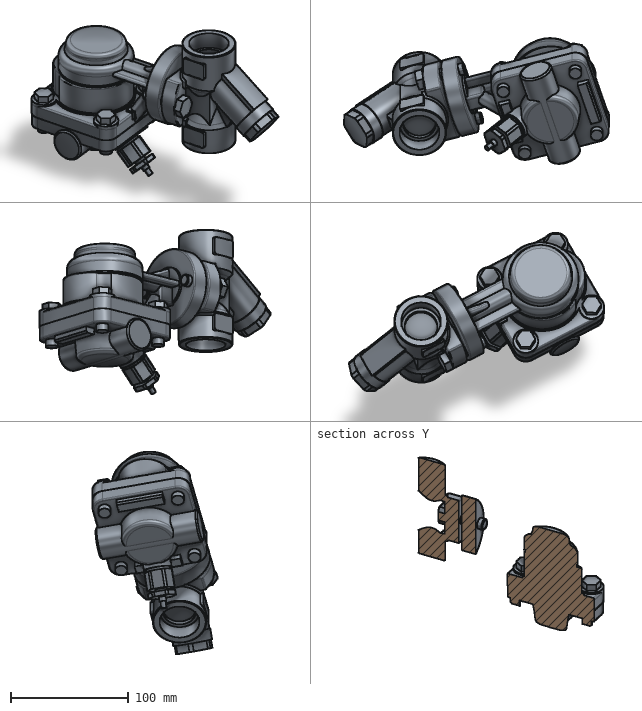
import cadquery as cq
import math


OVERALL_LENGTH = 226.1

PLATE_WIDTH = 85.5
PLATE_TOP = -37.0
PLATE_JOINT = -49.3
PLATE_BOTTOM = -61.0
PLATE_EDGE_FILLET = 1.4
JOINT_GROOVE = 0.2
COVER_BOLT_OFFSET = 32.0
BOLT_PAD_RADIUS = PLATE_WIDTH / 2 - COVER_BOLT_OFFSET
BOLT_PAD_TOP = -35.5
COVER_BOLT_FLATS = 14.2
COVER_BOLT_HEAD = 6.0
COVER_BOLT_DIAMETER = 10.5
COVER_BOLT_END = -66.7

BODY_CENTER_X = -1.4
BODY_RADIUS = 33.5
BODY_TOP = -10.9
BODY_TOP_FILLET = 1.0
BODY_FOOT_STEP = 1.4
LUG_CENTER_X = -16.3
LUG_RADIUS = 23.5
FLUTE_CENTER = (-33.0, 35.3)
FLUTE_RADIUS = 15.8

CAP_RADIUS = 32.3
CAP_SHOULDER_Z = 0.5
CAP_NECK_RADIUS = 27.1
CAP_NECK_Z = 8.5
CAP_TOP_RADIUS = 26.0
CAP_TOP = 18.0
CAP_TOP_FILLET = 3.8
CAP_STEP_Z = 12.5
CAP_GROOVE_Z = -9.0
CAP_GROOVE_RADIUS = 31.7

BOWL_TOP_RADIUS = 27.1
BOWL_BOTTOM_RADIUS = 24.0
BOWL_BOTTOM = -79.1
BOWL_FILLET = 4.3
SIDE_PAD_START = 30.5
SIDE_PAD_REACH = 39.8
SIDE_PAD_WIDTH = 40.0
SIDE_PAD_BOTTOM = -66.5
SIDE_PAD_CHAMFER = 1.5
PORT_DIAMETER = 28.0
PORT_FACE_DIAMETER = 25.0
PORT_LENGTH = 89.0
PORT_Z = -65.3

DRAIN_NUT_X = 33.5
DRAIN_NUT_Z = -74.5
DRAIN_ANGLE = 45
DRAIN_BOSS_DIAMETER = 24.0
DRAIN_BOSS_LENGTH = 18.0
DRAIN_COLLAR_DIAMETER = 21.0
DRAIN_COLLAR_LENGTH = 2.3
DRAIN_FLATS = 22.0
DRAIN_TURNED_DIAMETER = 24.0
DRAIN_NUT_LENGTH = 15.8
DRAIN_NECK_DIAMETER = 10.0
DRAIN_NECK_LENGTH = 2.7
DRAIN_LOCKNUT_LENGTH = 4.0
DRAIN_STEM_DIAMETER = 6.0
DRAIN_STEM_LENGTH = 3.8
DRAIN_TIP_DIAMETER = 4.5
DRAIN_TIP_LENGTH = 5.9

PIPE_DIAMETER = 15.0
WING_WIDTH = 32.0
WING_THICKNESS = 4.5
RIB_START_X = 50.9
RIB_HEIGHT = 16.5
RIB_THICKNESS = 6.3
RIB_FILLET = 2.5
BLOCK_START_X = 57.2
BLOCK_BOTTOM = -17.5
BLOCK_WIDTH = 14.0
BLOCK_FILLET = 2.3
BRANCH_DIAMETER = 12.0
BRANCH_TOP = (59.0, -13.3)
BRANCH_FOOT = (36.6, -47.3)
BRANCH_BOSS_REACH = 44.5
BRANCH_BOSS_WIDTH = 15.8
BRANCH_BOSS_BOTTOM = -43.0

HUB_FACE_X = 71.2
FLANGE_BACK_X = 73.3
FLANGE_FRONT_X = 87.3
VALVE_FLANGE_X = 89.8
VALVE_FLANGE_END_X = 104.0
HUB_DIAMETER = 34.0
RAISED_FACE_DIAMETER = 35.0
FLANGE_RADIUS = 33.5
FLANGE_FILLET = 1.0
VALVE_FLANGE_HEIGHT = 43.0
VALVE_FLANGE_CORNER = 2.3
FLANGE_BOLT_Y = 25.5
FLANGE_BOLT_DIAMETER = 10.0
FLANGE_BOLT_START_X = 68.3
FLANGE_BOLT_FLATS = 16.3
FLANGE_BOLT_HEAD = 6.3
FLANGE_BOLT_CHAMFER = 1.0

VALVE_X = 116.5
VALVE_RADIUS = 22.95
VALVE_TOP = 53.1
VALVE_BOTTOM = -43.0
WAIST_RADIUS = 12.2
WAIST_WIDTH = 33.0
WAIST_END_X = 128.7
COLLAR_START = 19.5
COLLAR_ROUND_RADIUS = 20.1
COLLAR_ROUND_Z = 15.5
COLLAR_END = 1.4
VALVE_EDGE_CHAMFER = 0.7
LIP_RADIUS = 24.6
LIP_BOTTOM = 15.8
LIP_TOP = 23.0
LIP_FILLET = 1.4
LIP_END_X = 107.5
WEB_WIDTH = 11.3
WEB_TIP = (143.5, -12.2)
WEB_TOP = (124.4, 11.3)
SOCKET_DIAMETER = 34.0
SOCKET_DEPTH = 14.2
SOCKET_SEAT_DIAMETER = 28.0
SOCKET_SEAT_DEPTH = 4.0
WRENCH_PAD_WIDTH = 21.0
WRENCH_PAD_HEIGHT = 15.4
WRENCH_PAD_CORNER = 1.8
WRENCH_PAD_FACE_Y = 23.3
WRENCH_PAD_TO_END = 14.2

ARM_ANGLE = 36.5
PLUG_FACE_Z = -13.0
PLUG_FLATS = 30.3
PLUG_TURNED_DIAMETER = 33.0
PLUG_LENGTH = 7.2
ARM_COLLAR_DIAMETER = 34.0
ARM_COLLAR_LENGTH = 9.5
ARM_DIAMETER = 32.5
ARM_LENGTH = 40.7
ARM_RIB_WIDTH = 20.8
ARM_RIB_HEIGHT = 16.7


def hex_corners(across_flats):
    """Diameter through the corners of a hexagon."""
    return across_flats / math.cos(math.pi / 6)


def disc(plane, start, end, diameter):
    """Round bar along the normal of a plane, between two distances from it."""
    return cq.Workplane(plane).workplane(offset=start).circle(diameter / 2).extrude(end - start)


def hex_bar(plane, start, end, across_flats):
    """Hexagonal bar with two corners on the plane's local X axis."""
    return (
        cq.Workplane(plane).workplane(offset=start)
        .polygon(6, hex_corners(across_flats)).extrude(end - start)
    )


def block(x_range, y_range, z_range):
    """Box between pairs of coordinates."""
    sizes = [limits[1] - limits[0] for limits in (x_range, y_range, z_range)]
    corner = (x_range[0], y_range[0], z_range[0])
    return cq.Workplane().box(*sizes, centered=False).translate(corner)


def x_plane(y=0.0):
    """Plane facing +X, with its local X axis along Y."""
    return cq.Plane(origin=(0, y, 0), xDir=(0, 1, 0), normal=(1, 0, 0))


def rounded_plate(width, bottom, top):
    return (
        cq.Workplane().workplane(offset=bottom).rect(width, width)
        .extrude(top - bottom).edges("|Z").fillet(BOLT_PAD_RADIUS)
    )


def make_plates():
    upper = rounded_plate(PLATE_WIDTH, PLATE_JOINT, PLATE_TOP).faces(">Z").edges().fillet(PLATE_EDGE_FILLET)
    lower = rounded_plate(PLATE_WIDTH - 2 * JOINT_GROOVE, PLATE_BOTTOM, PLATE_JOINT)
    return upper.union(lower.faces("<Z").edges().fillet(PLATE_EDGE_FILLET))


def make_cover_bolt(x, y):
    plane = cq.Plane(origin=(x, y, 0), xDir=(0, 1, 0), normal=(0, 0, 1))
    pad = disc(plane, PLATE_JOINT, BOLT_PAD_TOP, 2 * BOLT_PAD_RADIUS)
    head = hex_bar(plane, BOLT_PAD_TOP, BOLT_PAD_TOP + COVER_BOLT_HEAD, COVER_BOLT_FLATS)
    shank = disc(plane, COVER_BOLT_END, BOLT_PAD_TOP, COVER_BOLT_DIAMETER)
    return pad.union(head).union(shank)


def make_body():
    """Round cover wall with a lug toward -X, fluted between the two, standing on a thin foot."""
    base = cq.Workplane().workplane(offset=PLATE_TOP)
    height = BODY_TOP - PLATE_TOP
    foot_height = BOLT_PAD_TOP - PLATE_TOP
    circles = [(BODY_CENTER_X, BODY_RADIUS), (LUG_CENTER_X, LUG_RADIUS)]
    wall, lug = [base.center(x, 0).circle(radius).extrude(height) for x, radius in circles]
    foot, lug_foot = [
        base.center(x, 0).circle(radius + BODY_FOOT_STEP).extrude(foot_height) for x, radius in circles
    ]
    body = wall.union(lug)
    flute_x, flute_y = FLUTE_CENTER
    for side in (-1, 1):
        body = body.cut(base.center(flute_x, side * flute_y).circle(FLUTE_RADIUS).extrude(height))
    body = body.faces(">Z").edges().fillet(BODY_TOP_FILLET)
    return body.union(foot).union(lug_foot)


def make_cap():
    diagonal = math.sqrt(0.5)
    shoulder_mid = (
        CAP_NECK_RADIUS + (CAP_RADIUS - CAP_NECK_RADIUS) * diagonal,
        CAP_SHOULDER_Z + (CAP_NECK_Z - CAP_SHOULDER_Z) * diagonal,
    )
    return (
        cq.Workplane("XZ").moveTo(0, PLATE_TOP)
        .lineTo(CAP_GROOVE_RADIUS, PLATE_TOP)
        .lineTo(CAP_GROOVE_RADIUS, CAP_GROOVE_Z)
        .lineTo(CAP_RADIUS, CAP_GROOVE_Z)
        .lineTo(CAP_RADIUS, CAP_SHOULDER_Z)
        .threePointArc(shoulder_mid, (CAP_NECK_RADIUS, CAP_NECK_Z))
        .lineTo(CAP_TOP_RADIUS, CAP_STEP_Z)
        .lineTo(CAP_TOP_RADIUS, CAP_TOP - CAP_TOP_FILLET)
        .radiusArc((CAP_TOP_RADIUS - CAP_TOP_FILLET, CAP_TOP), -CAP_TOP_FILLET)
        .lineTo(0, CAP_TOP).close()
        .revolve(360, (0, 0, 0), (0, 1, 0))
    )


def make_bowl():
    """Tapered bottom of the trap with its two side pads and two ports."""
    bowl = (
        cq.Workplane().workplane(offset=PLATE_JOINT).circle(BOWL_TOP_RADIUS)
        .workplane(offset=BOWL_BOTTOM - PLATE_JOINT).circle(BOWL_BOTTOM_RADIUS).loft()
        .faces("<Z").edges().fillet(BOWL_FILLET)
    )
    pad = block(
        (SIDE_PAD_START, SIDE_PAD_REACH),
        (-SIDE_PAD_WIDTH / 2, SIDE_PAD_WIDTH / 2),
        (SIDE_PAD_BOTTOM, PLATE_JOINT),
    )
    pad = pad.edges("<Z and >X").chamfer(SIDE_PAD_CHAMFER)
    ports = (
        cq.Workplane("XZ").center(0, PORT_Z).circle(PORT_DIAMETER / 2)
        .extrude(PORT_LENGTH / 2, both=True)
        .faces("<Y or >Y").edges().chamfer((PORT_DIAMETER - PORT_FACE_DIAMETER) / 2)
    )
    return bowl.union(pad).union(pad.mirror("YZ")).union(ports)


def make_drain():
    """Drain valve pointing down and toward +X."""
    angle = math.radians(DRAIN_ANGLE)
    axis = cq.Plane(
        origin=(DRAIN_NUT_X, 0, DRAIN_NUT_Z),
        xDir=(0, 1, 0),
        normal=(math.cos(angle), 0, -math.sin(angle)),
    )
    neck_start = DRAIN_NUT_LENGTH
    locknut_start = neck_start + DRAIN_NECK_LENGTH
    stem_start = locknut_start + DRAIN_LOCKNUT_LENGTH
    tip_start = stem_start + DRAIN_STEM_LENGTH
    hexes = hex_bar(axis, 0, DRAIN_NUT_LENGTH, DRAIN_FLATS)
    hexes = hexes.union(hex_bar(axis, locknut_start, stem_start, DRAIN_FLATS))
    hexes = hexes.intersect(disc(axis, 0, stem_start, DRAIN_TURNED_DIAMETER))
    return (
        disc(axis, -DRAIN_BOSS_LENGTH, -DRAIN_COLLAR_LENGTH, DRAIN_BOSS_DIAMETER)
        .union(disc(axis, -DRAIN_COLLAR_LENGTH, 0, DRAIN_COLLAR_DIAMETER))
        .union(hexes)
        .union(disc(axis, neck_start, locknut_start, DRAIN_NECK_DIAMETER))
        .union(disc(axis, stem_start, tip_start, DRAIN_STEM_DIAMETER))
        .union(disc(axis, tip_start, tip_start + DRAIN_TIP_LENGTH, DRAIN_TIP_DIAMETER))
    )


def make_connector():
    """Winged pipe from cap to flange, with a top rib, a lower block and a sloping branch."""
    pipe = disc(x_plane(), 0, FLANGE_BACK_X, PIPE_DIAMETER)
    wings = cq.Workplane(x_plane()).slot2D(WING_WIDTH, WING_THICKNESS).extrude(FLANGE_BACK_X)
    rib = (
        cq.Workplane("XZ")
        .polyline([
            (RIB_START_X, 0),
            (RIB_START_X, PIPE_DIAMETER / 2),
            (FLANGE_BACK_X, RIB_HEIGHT),
            (FLANGE_BACK_X, 0),
        ])
        .close().extrude(RIB_THICKNESS / 2, both=True)
        .faces(">Z").edges("not |Y").fillet(RIB_FILLET)
    )
    lower_block = block(
        (BLOCK_START_X, FLANGE_BACK_X),
        (-BLOCK_WIDTH / 2, BLOCK_WIDTH / 2),
        (BLOCK_BOTTOM, 0),
    )
    lower_block = lower_block.edges("<X and |Z or <Z and |X or <X and <Z").fillet(BLOCK_FILLET)
    run = BRANCH_TOP[0] - BRANCH_FOOT[0]
    rise = BRANCH_TOP[1] - BRANCH_FOOT[1]
    branch_axis = cq.Plane(
        origin=(BRANCH_FOOT[0], 0, BRANCH_FOOT[1]), xDir=(0, 1, 0), normal=(run, 0, rise)
    )
    branch = disc(branch_axis, 0, math.hypot(run, rise), BRANCH_DIAMETER)
    boss = block(
        (BRANCH_FOOT[0], BRANCH_BOSS_REACH),
        (-BRANCH_BOSS_WIDTH / 2, BRANCH_BOSS_WIDTH / 2),
        (BRANCH_BOSS_BOTTOM, BOLT_PAD_TOP),
    )
    return pipe.union(wings).union(rib).union(lower_block).union(branch).union(boss)


def make_flanges():
    plane = x_plane()
    flange = disc(plane, FLANGE_BACK_X, FLANGE_FRONT_X, 2 * FLANGE_RADIUS)
    flange = flange.faces("<X or >X").edges().fillet(FLANGE_FILLET)
    hub = disc(plane, HUB_FACE_X, FLANGE_BACK_X, HUB_DIAMETER)
    raised_face = disc(plane, FLANGE_FRONT_X, VALVE_FLANGE_X, RAISED_FACE_DIAMETER)
    oval = block(
        (VALVE_FLANGE_X, VALVE_FLANGE_END_X),
        (-FLANGE_RADIUS, FLANGE_RADIUS),
        (-VALVE_FLANGE_HEIGHT / 2, VALVE_FLANGE_HEIGHT / 2),
    )
    oval = oval.intersect(disc(plane, VALVE_FLANGE_X, VALVE_FLANGE_END_X, 2 * FLANGE_RADIUS))
    oval = oval.edges("|X").fillet(VALVE_FLANGE_CORNER).faces("<X or >X").edges().fillet(FLANGE_FILLET)
    flanges = flange.union(hub).union(raised_face).union(oval)
    head_end = VALVE_FLANGE_END_X + FLANGE_BOLT_HEAD
    for side in (-1, 1):
        bolt_axis = x_plane(side * FLANGE_BOLT_Y)
        shank = disc(bolt_axis, FLANGE_BOLT_START_X, head_end, FLANGE_BOLT_DIAMETER)
        flanges = flanges.union(shank.faces("<X").edges().chamfer(FLANGE_BOLT_CHAMFER))
        flanges = flanges.union(hex_bar(bolt_axis, VALVE_FLANGE_END_X, head_end, FLANGE_BOLT_FLATS))
    return flanges


def make_valve():
    """Vertical valve body: two round ends joined by a narrow waist."""
    profile = [
        (0, VALVE_BOTTOM),
        (VALVE_RADIUS, VALVE_BOTTOM),
        (VALVE_RADIUS, -COLLAR_START),
        (COLLAR_ROUND_RADIUS, -COLLAR_ROUND_Z),
        (WAIST_RADIUS, -COLLAR_END),
        (WAIST_RADIUS, COLLAR_END),
        (COLLAR_ROUND_RADIUS, COLLAR_ROUND_Z),
        (VALVE_RADIUS, COLLAR_START),
        (VALVE_RADIUS, VALVE_TOP),
        (0, VALVE_TOP),
    ]
    valve = (
        cq.Workplane("XZ").polyline(profile).close()
        .revolve(360, (0, 0, 0), (0, 1, 0))
        .faces("<Z or >Z").edges().chamfer(VALVE_EDGE_CHAMFER)
        .translate((VALVE_X, 0, 0))
    )
    waist = block(
        (VALVE_FLANGE_X, WAIST_END_X),
        (-WAIST_WIDTH / 2, WAIST_WIDTH / 2),
        (-COLLAR_START, COLLAR_START),
    )
    lip = (
        cq.Workplane().workplane(offset=LIP_BOTTOM).center(VALVE_X, 0)
        .circle(LIP_RADIUS).extrude(LIP_TOP - LIP_BOTTOM)
        .faces(">Z").edges().fillet(LIP_FILLET)
    )
    lip = lip.intersect(
        block((VALVE_FLANGE_X, LIP_END_X), (-LIP_RADIUS, LIP_RADIUS), (LIP_BOTTOM, LIP_TOP))
    )
    web = (
        cq.Workplane("XZ")
        .polyline([
            WEB_TOP,
            (VALVE_X, -COLLAR_START),
            (VALVE_X + VALVE_RADIUS, -COLLAR_START),
            WEB_TIP,
            (WEB_TIP[0], WEB_TOP[1]),
        ])
        .close().extrude(WEB_WIDTH / 2, both=True)
    )
    valve = valve.union(waist).union(lip).union(lip.mirror("XY")).union(web)
    for pad_z in (VALVE_TOP - WRENCH_PAD_TO_END, VALVE_BOTTOM + WRENCH_PAD_TO_END):
        pad = (
            cq.Workplane("XZ").center(VALVE_X, pad_z).rect(WRENCH_PAD_WIDTH, WRENCH_PAD_HEIGHT)
            .extrude(WRENCH_PAD_FACE_Y, both=True).edges("|Y").fillet(WRENCH_PAD_CORNER)
        )
        valve = valve.union(pad)
    return valve


def make_socket(end_z, direction):
    """Stepped socket cut into one end of the valve body."""
    plane = cq.Plane(origin=(VALVE_X, 0, end_z), xDir=(1, 0, 0), normal=(0, 0, direction))
    socket = disc(plane, 0, SOCKET_DEPTH, SOCKET_DIAMETER)
    return socket.union(disc(plane, 0, SOCKET_DEPTH + SOCKET_SEAT_DEPTH, SOCKET_SEAT_DIAMETER))


def make_strainer_arm():
    """Sloping arm closed by a hexagonal plug, with a flat-topped rib above it."""
    angle = math.radians(ARM_ANGLE)
    part_end_x = OVERALL_LENGTH - PLATE_WIDTH / 2
    plug_face_x = part_end_x - PLUG_TURNED_DIAMETER / 2 * math.sin(angle)
    axis = cq.Plane(
        origin=(plug_face_x, 0, PLUG_FACE_Z),
        xDir=(math.sin(angle), 0, math.cos(angle)),
        normal=(math.cos(angle), 0, -math.sin(angle)),
    )
    collar_end = -PLUG_LENGTH
    collar_start = collar_end - ARM_COLLAR_LENGTH
    arm_start = collar_start - ARM_LENGTH
    plug = hex_bar(axis, collar_end, 0, PLUG_FLATS)
    plug = plug.intersect(disc(axis, collar_end, 0, PLUG_TURNED_DIAMETER))
    rib = (
        cq.Workplane(axis).workplane(offset=arm_start)
        .center(ARM_RIB_HEIGHT / 2, 0).rect(ARM_RIB_HEIGHT, ARM_RIB_WIDTH)
        .extrude(collar_start - arm_start)
    )
    return (
        plug.union(disc(axis, collar_start, collar_end, ARM_COLLAR_DIAMETER))
        .union(disc(axis, arm_start, collar_start, ARM_DIAMETER))
        .union(rib)
    )


result = make_plates().union(make_body()).union(make_cap()).union(make_bowl()).union(make_drain())
for bolt_x in (-COVER_BOLT_OFFSET, COVER_BOLT_OFFSET):
    for bolt_y in (-COVER_BOLT_OFFSET, COVER_BOLT_OFFSET):
        result = result.union(make_cover_bolt(bolt_x, bolt_y))
result = result.union(make_connector()).union(make_flanges())
result = result.union(make_valve()).union(make_strainer_arm())
result = result.cut(make_socket(VALVE_TOP, -1)).cut(make_socket(VALVE_BOTTOM, 1))